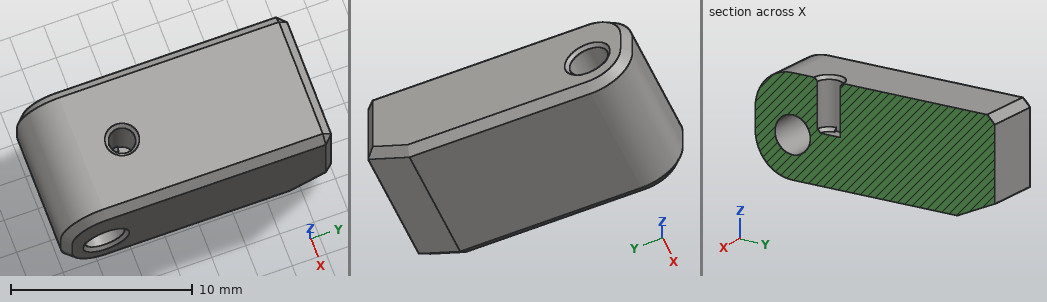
import cadquery as cq
import math

width = 8.0
length = 15.9
height = 6.3
nose_radius = 2.5
edge_chamfer = 0.5

relief_length = 2.5
relief_angle = 25.0
relief_height = relief_length * math.tan(math.radians(relief_angle))

cross_hole_diameter = 2.3
cross_hole_y = nose_radius
cross_hole_z = 2.65

top_hole_diameter = 1.5
top_hole_y = 4.9
top_hole_depth = 3.18

hole_chamfer = 0.2


def block():
    """Side profile with a rounded nose at Y = 0, extruded across X and chamfered."""
    body = (
        cq.Workplane("YZ")
        .moveTo(nose_radius, 0)
        .lineTo(length - relief_length, 0)
        .lineTo(length, relief_height)
        .lineTo(length, height)
        .lineTo(nose_radius, height)
        .radiusArc((0, height - nose_radius), -nose_radius)
        .lineTo(0, nose_radius)
        .radiusArc((nose_radius, 0), -nose_radius)
        .close()
        .extrude(width / 2, both=True)
    )
    side_edges = body.faces("<X or >X").edges()
    top_rear_edge = body.faces("<Z or >Z").edges(">Y")
    return side_edges.add(top_rear_edge).chamfer(edge_chamfer)


def cross_hole():
    """Through hole with a chamfered mouth on both sides, as a solid of revolution."""
    radius = cross_hole_diameter / 2
    half = width / 2
    return (
        cq.Workplane("XY")
        .polyline([
            (-half, 0),
            (-half, radius + hole_chamfer),
            (-half + hole_chamfer, radius),
            (half - hole_chamfer, radius),
            (half, radius + hole_chamfer),
            (half, 0),
        ])
        .close()
        .revolve(360, (0, 0), (1, 0))
        .translate((0, cross_hole_y, cross_hole_z))
    )


def top_hole():
    """Blind hole with a chamfered mouth; the nose half of its floor edge is bevelled."""
    radius = top_hole_diameter / 2
    bore = (
        cq.Workplane("XZ")
        .polyline([
            (0, 0),
            (radius + hole_chamfer, 0),
            (radius, -hole_chamfer),
            (radius, -top_hole_depth),
            (0, -top_hole_depth),
        ])
        .close()
        .revolve(360, (0, 0), (0, 1))
    )
    floor_bevel = (
        cq.Workplane("XZ")
        .polyline([
            (radius, -top_hole_depth),
            (radius, -top_hole_depth + hole_chamfer),
            (radius - hole_chamfer, -top_hole_depth),
        ])
        .close()
        .revolve(180, (0, 0), (0, 1))
        .rotate((0, 0, 0), (0, 0, 1), 180)
    )
    return bore.cut(floor_bevel).translate((0, top_hole_y, height))


result = block().cut(cross_hole()).cut(top_hole())